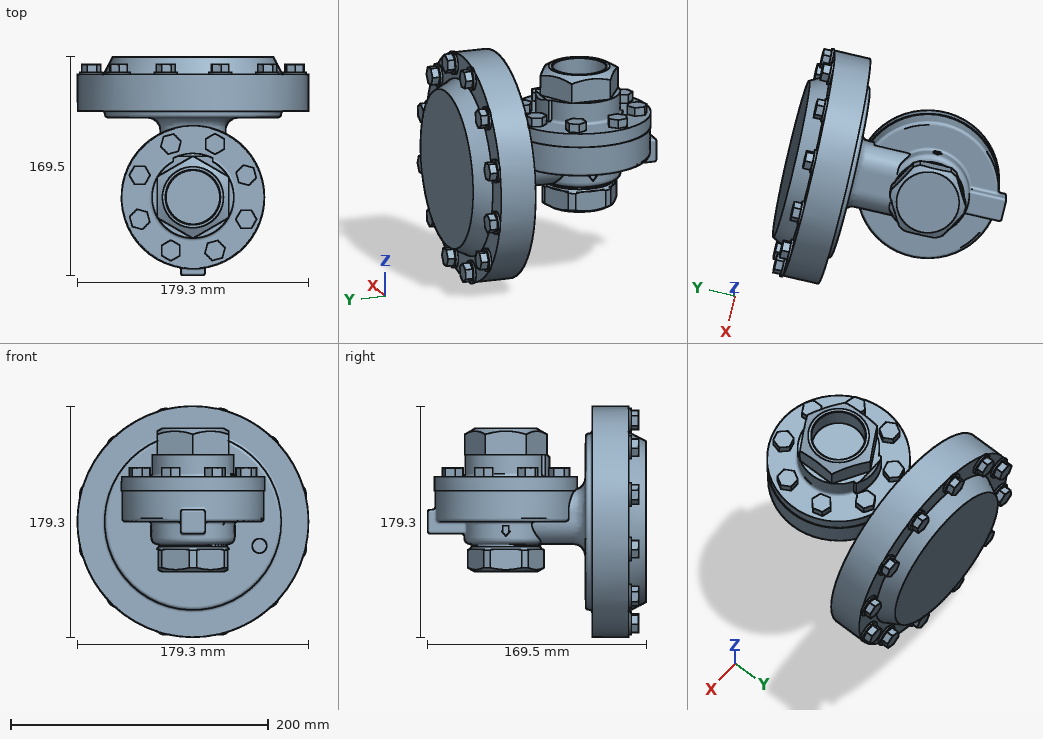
import cadquery as cq
import math


OVERALL_DEPTH = 169.51

COVER_DIAMETER = 179.32
COVER_RADIUS = COVER_DIAMETER / 2
FLANGE_THICKNESS = 14.2
FLANGE_FRONT_Y = 66.85
FLANGE_SPLIT_Y = FLANGE_FRONT_Y + FLANGE_THICKNESS
FLANGE_BACK_Y = FLANGE_SPLIT_Y + FLANGE_THICKNESS
BACK_BOSS_Y = 108.85
BACK_BOSS_BASE_RADIUS = 69.5
BACK_BOSS_TOP_RADIUS = 62.4
RIM_RADIUS = 68.5
RIM_ROOT_FILLET = 2.2
RIM_EDGE_FILLET = 2.7
RIM_FACE_Y = 61.8
FACE_CENTER_Y = 61.2

COVER_BOLT_COUNT = 12
COVER_BOLT_CIRCLE = 81.6
COVER_BOLT_START = 15.0
COVER_BOLT_ACROSS_FLATS = 13.0
COVER_BOLT_TWIST = 10.0
COVER_BOLT_TOP_Y = 103.0
WASHER_RADIUS = 9.0
WASHER_THICKNESS = 1.8

HOLE_RADIUS = 5.6
HOLE_CIRCLE = 54.9
HOLE_ANGLE = -20.0
HOLE_DEPTH = 10.0

LINK_WIDTH = 51.0
LINK_HEIGHT = 42.4
LINK_CORNER_RADIUS = 17.5
LINK_CENTER_Z = 3.8
LINK_FLARE = 9.0

BONNET_RADIUS = 55.5
BONNET_TOP_Z = 34.9
BONNET_BOTTOM_Z = 23.9
BODY_RADIUS = 54.9
BODY_BOTTOM_Z = 0.0
BODY_EDGE_FILLET = 2.5
BODY_ROOT_FILLET = 2.3
OUTLET_RADIUS = 32.3
OUTLET_BOTTOM_Z = -17.4
OUTLET_EDGE_FILLET = 4.7
OUTLET_ROOT_FILLET = 0.9
OUTLET_NECK_RADIUS = OUTLET_RADIUS - OUTLET_EDGE_FILLET - OUTLET_ROOT_FILLET
OUTLET_NECK_BOTTOM_Z = -19.6
INLET_RADIUS = 31.7
INLET_ROOT_FILLET = 2.3

PAD_RADIUS = 34.0
PAD_WIDTH = 30.4
PAD_CHAMFER = PAD_RADIUS - INLET_RADIUS

ARROW_HEIGHT = 0.5
ARROW_RADIUS = OUTLET_RADIUS + ARROW_HEIGHT
ARROW_TOP_Z = -3.0
ARROW_HEAD_Z = -7.3
ARROW_TIP_Z = -11.3
ARROW_SHAFT_HALF_WIDTH = 2.4
ARROW_HEAD_HALF_WIDTH = 3.3

UPPER_HEX_ACROSS_FLATS = 55.3
UPPER_HEX_BOTTOM_Z = 52.1
UPPER_HEX_TOP_Z = 72.5
UPPER_HEX_FACE_RADIUS = 23.7
LOWER_HEX_ACROSS_FLATS = 54.1
LOWER_HEX_TOP_Z = -21.2
LOWER_HEX_BOTTOM_Z = -38.8
LOWER_HEX_TURNED_RADIUS = 29.7
LOWER_HEX_TOP_RADIUS = 28.2
LOWER_HEX_FACE_RADIUS = 24.3
HEX_CORNER_ANGLE = 90
HEX_CHAMFER_SLOPE = math.tan(math.radians(30))
BORE_RADIUS = 20.9
BORE_DEPTH = 18.5
BORE_CHAMFER = 0.5

BONNET_BOLT_COUNT = 8
BONNET_BOLT_CIRCLE = 44.7
BONNET_BOLT_START = 22.5
BONNET_BOLT_TWIST = 22.5
BONNET_BOLT_ACROSS_FLATS = 14.0
BONNET_BOLT_HEIGHT = 6.8

LUG_SIDE = 18.8
LUG_FRONT_Y = BACK_BOSS_Y - OVERALL_DEPTH
LUG_EDGE_FILLET = 2.0
LUG_ROOT_FILLET = 2.3

OVERLAP = 2.0
JOINT_MARGIN = 0.1


def hexagon_points(across_flats, first_corner_angle):
    """Corners of a hexagon about the origin, the first one at the given angle in degrees."""
    corner_radius = across_flats / math.sqrt(3)
    angles = [math.radians(first_corner_angle + 60 * i) for i in range(6)]
    return [(corner_radius * math.cos(a), corner_radius * math.sin(a)) for a in angles]


def revolve_about_z(profile):
    """Revolve a closed (radius, z) profile drawn on the XZ plane about Z."""
    return profile.close().revolve(360, (0, 0, 0), (0, 1, 0))


def make_cover():
    """Flange pair, tapered back boss and rounded front rim, revolved about Y."""
    root_fillet_start_y = FLANGE_FRONT_Y - RIM_ROOT_FILLET
    profile = (
        cq.Workplane("XY")
        .moveTo(0, FACE_CENTER_Y)
        .lineTo(RIM_RADIUS - RIM_EDGE_FILLET, RIM_FACE_Y)
        .radiusArc((RIM_RADIUS, RIM_FACE_Y + RIM_EDGE_FILLET), -RIM_EDGE_FILLET)
        .lineTo(RIM_RADIUS, root_fillet_start_y)
        .radiusArc((RIM_RADIUS + RIM_ROOT_FILLET, FLANGE_FRONT_Y), RIM_ROOT_FILLET)
        .lineTo(COVER_RADIUS, FLANGE_FRONT_Y)
        .lineTo(COVER_RADIUS, FLANGE_BACK_Y)
        .lineTo(BACK_BOSS_BASE_RADIUS, FLANGE_BACK_Y)
        .lineTo(BACK_BOSS_TOP_RADIUS, BACK_BOSS_Y)
        .lineTo(0, BACK_BOSS_Y)
        .close()
    )
    return profile.revolve(360, (0, 0, 0), (0, 1, 0))


def make_cover_bolt():
    """One washer-faced bolt head standing on the back flange, at angle zero on the X axis."""
    washer = (
        cq.Workplane("XZ", origin=(COVER_BOLT_CIRCLE, FLANGE_BACK_Y, 0))
        .circle(WASHER_RADIUS)
        .extrude(-WASHER_THICKNESS)
    )
    head = (
        cq.Workplane("XZ", origin=(COVER_BOLT_CIRCLE, FLANGE_BACK_Y, 0))
        .polyline(hexagon_points(COVER_BOLT_ACROSS_FLATS, COVER_BOLT_TWIST))
        .close()
        .extrude(FLANGE_BACK_Y - COVER_BOLT_TOP_Y)
    )
    return washer.union(head)


def make_link():
    """Rounded-rectangle neck from the cover to the valve axis."""
    length = FACE_CENTER_Y + OVERLAP
    return (
        cq.Workplane("XZ", origin=(0, 0, LINK_CENTER_Z))
        .rect(LINK_WIDTH, LINK_HEIGHT)
        .extrude(-length)
        .edges("|Y")
        .fillet(LINK_CORNER_RADIUS)
    )


def flare_link(cover_and_link):
    """Fillet the edges where the neck meets the cover face."""
    reach = max(LINK_WIDTH, LINK_HEIGHT)
    root = cq.selectors.BoxSelector(
        (-reach, FACE_CENTER_Y - OVERLAP / 2, -reach),
        (reach, RIM_FACE_Y, reach),
        boundingbox=True,
    )
    return cover_and_link.edges(root).fillet(LINK_FLARE)


def make_valve_body():
    """Bonnet, body, outlet and inlet necks as one turned solid."""
    profile = (
        cq.Workplane("XZ")
        .moveTo(0, LOWER_HEX_TOP_Z)
        .lineTo(LOWER_HEX_TOP_RADIUS, LOWER_HEX_TOP_Z)
        .lineTo(OUTLET_NECK_RADIUS, OUTLET_NECK_BOTTOM_Z)
        .lineTo(OUTLET_NECK_RADIUS, OUTLET_BOTTOM_Z - OUTLET_ROOT_FILLET)
        .radiusArc((OUTLET_RADIUS - OUTLET_EDGE_FILLET, OUTLET_BOTTOM_Z), OUTLET_ROOT_FILLET)
        .radiusArc((OUTLET_RADIUS, OUTLET_BOTTOM_Z + OUTLET_EDGE_FILLET), -OUTLET_EDGE_FILLET)
        .lineTo(OUTLET_RADIUS, BODY_BOTTOM_Z - BODY_ROOT_FILLET)
        .radiusArc((OUTLET_RADIUS + BODY_ROOT_FILLET, BODY_BOTTOM_Z), BODY_ROOT_FILLET)
        .lineTo(BODY_RADIUS - BODY_EDGE_FILLET, BODY_BOTTOM_Z)
        .radiusArc((BODY_RADIUS, BODY_BOTTOM_Z + BODY_EDGE_FILLET), -BODY_EDGE_FILLET)
        .lineTo(BODY_RADIUS, BONNET_BOTTOM_Z)
        .lineTo(BONNET_RADIUS, BONNET_BOTTOM_Z)
        .lineTo(BONNET_RADIUS, BONNET_TOP_Z)
        .lineTo(INLET_RADIUS + INLET_ROOT_FILLET, BONNET_TOP_Z)
        .radiusArc((INLET_RADIUS, BONNET_TOP_Z + INLET_ROOT_FILLET), INLET_ROOT_FILLET)
        .lineTo(INLET_RADIUS, UPPER_HEX_BOTTOM_Z)
        .lineTo(0, UPPER_HEX_BOTTOM_Z)
    )
    return revolve_about_z(profile)


def make_hex(across_flats, bottom_z, top_z):
    """Plain hexagonal prism with corners on the Y axis."""
    return (
        cq.Workplane("XY", origin=(0, 0, bottom_z))
        .polyline(hexagon_points(across_flats, HEX_CORNER_ANGLE))
        .close()
        .extrude(top_z - bottom_z)
    )


def make_upper_hex():
    """Inlet hexagon with a coned top."""
    corner_radius = UPPER_HEX_ACROSS_FLATS / math.sqrt(3) + OVERLAP
    cone_drop = (corner_radius - UPPER_HEX_FACE_RADIUS) * HEX_CHAMFER_SLOPE
    turned_profile = (
        cq.Workplane("XZ")
        .moveTo(0, UPPER_HEX_BOTTOM_Z)
        .lineTo(corner_radius, UPPER_HEX_BOTTOM_Z)
        .lineTo(corner_radius, UPPER_HEX_TOP_Z - cone_drop)
        .lineTo(UPPER_HEX_FACE_RADIUS, UPPER_HEX_TOP_Z)
        .lineTo(0, UPPER_HEX_TOP_Z)
    )
    hexagon = make_hex(UPPER_HEX_ACROSS_FLATS, UPPER_HEX_BOTTOM_Z, UPPER_HEX_TOP_Z)
    return hexagon.intersect(revolve_about_z(turned_profile))


def make_lower_hex():
    """Outlet hexagon with turned corners and coned ends."""
    top_drop = (LOWER_HEX_TURNED_RADIUS - LOWER_HEX_TOP_RADIUS) * HEX_CHAMFER_SLOPE
    bottom_rise = (LOWER_HEX_TURNED_RADIUS - LOWER_HEX_FACE_RADIUS) * HEX_CHAMFER_SLOPE
    turned_profile = (
        cq.Workplane("XZ")
        .moveTo(0, LOWER_HEX_BOTTOM_Z)
        .lineTo(LOWER_HEX_FACE_RADIUS, LOWER_HEX_BOTTOM_Z)
        .lineTo(LOWER_HEX_TURNED_RADIUS, LOWER_HEX_BOTTOM_Z + bottom_rise)
        .lineTo(LOWER_HEX_TURNED_RADIUS, LOWER_HEX_TOP_Z - top_drop)
        .lineTo(LOWER_HEX_TOP_RADIUS, LOWER_HEX_TOP_Z)
        .lineTo(0, LOWER_HEX_TOP_Z)
    )
    hexagon = make_hex(LOWER_HEX_ACROSS_FLATS, LOWER_HEX_BOTTOM_Z, LOWER_HEX_TOP_Z)
    return hexagon.intersect(revolve_about_z(turned_profile))


def make_bonnet_bolt():
    """One hexagon bolt head standing on the bonnet, at angle zero on the X axis."""
    return (
        cq.Workplane("XY", origin=(BONNET_BOLT_CIRCLE, 0, BONNET_TOP_Z))
        .polyline(hexagon_points(BONNET_BOLT_ACROSS_FLATS, BONNET_BOLT_TWIST))
        .close()
        .extrude(BONNET_BOLT_HEIGHT)
    )


def make_lug():
    """Square lug reaching forward from the outlet neck, with rounded outer edges."""
    length = -LUG_FRONT_Y - OUTLET_RADIUS + 2 * OVERLAP
    lug = (
        cq.Workplane("XZ", origin=(0, LUG_FRONT_Y, 0))
        .rect(LUG_SIDE, LUG_SIDE)
        .extrude(-length)
    )
    return lug.edges("|Y or <Y").fillet(LUG_EDGE_FILLET)


def blend_lug(body_and_lug):
    """Fillet the edges where the lug meets the body and the outlet neck."""
    half_side = LUG_SIDE / 2 + JOINT_MARGIN
    front_y = LUG_FRONT_Y + 2 * LUG_EDGE_FILLET
    back_y = OVERLAP - OUTLET_RADIUS
    joint = cq.selectors.BoxSelector(
        (-half_side, front_y, -half_side),
        (half_side, back_y, half_side),
        boundingbox=True,
    )
    return body_and_lug.edges(joint).fillet(LUG_ROOT_FILLET)


def make_pad():
    """Wide raised pad on the +Y side of the inlet neck, chamfered at its top."""
    height = UPPER_HEX_BOTTOM_Z - BONNET_TOP_Z
    base = cq.Workplane("XY", origin=(0, 0, BONNET_TOP_Z))
    block = (
        base.rect(PAD_WIDTH, 2 * PAD_RADIUS)
        .extrude(height)
        .edges(">Y and >Z")
        .chamfer(PAD_CHAMFER)
    )
    rear_half = base.center(0, PAD_RADIUS).rect(PAD_WIDTH, 2 * PAD_RADIUS).extrude(height)
    return block.intersect(rear_half).intersect(base.circle(PAD_RADIUS).extrude(height))


def make_arrows():
    """Two flow arrows pointing down, standing slightly proud of the outlet neck at +X and -X."""
    outline = [
        (-ARROW_SHAFT_HALF_WIDTH, ARROW_TOP_Z),
        (ARROW_SHAFT_HALF_WIDTH, ARROW_TOP_Z),
        (ARROW_SHAFT_HALF_WIDTH, ARROW_HEAD_Z),
        (ARROW_HEAD_HALF_WIDTH, ARROW_HEAD_Z),
        (0, ARROW_TIP_Z),
        (-ARROW_HEAD_HALF_WIDTH, ARROW_HEAD_Z),
        (-ARROW_SHAFT_HALF_WIDTH, ARROW_HEAD_Z),
    ]
    bar = cq.Workplane("YZ").polyline(outline).close().extrude(ARROW_RADIUS, both=True)
    skin = (
        cq.Workplane("XY", origin=(0, 0, ARROW_TIP_Z))
        .circle(ARROW_RADIUS)
        .extrude(ARROW_TOP_Z - ARROW_TIP_Z)
    )
    return bar.intersect(skin)


def make_bore():
    """Blind inlet bore with a chamfered mouth."""
    profile = (
        cq.Workplane("XZ")
        .moveTo(0, UPPER_HEX_TOP_Z)
        .lineTo(BORE_RADIUS + BORE_CHAMFER, UPPER_HEX_TOP_Z)
        .lineTo(BORE_RADIUS, UPPER_HEX_TOP_Z - BORE_CHAMFER)
        .lineTo(BORE_RADIUS, UPPER_HEX_TOP_Z - BORE_DEPTH)
        .lineTo(0, UPPER_HEX_TOP_Z - BORE_DEPTH)
    )
    return revolve_about_z(profile)


def make_sensing_hole():
    """Blind hole in the cover's front face."""
    angle = math.radians(HOLE_ANGLE)
    x = HOLE_CIRCLE * math.cos(angle)
    z = HOLE_CIRCLE * math.sin(angle)
    depth = RIM_FACE_Y - FACE_CENTER_Y + HOLE_DEPTH
    return cq.Workplane("XZ", origin=(x, FACE_CENTER_Y, z)).circle(HOLE_RADIUS).extrude(-depth)


cover = flare_link(make_cover().union(make_link()))
cover = cover.cut(make_sensing_hole())
cover_bolt = make_cover_bolt()
for i in range(COVER_BOLT_COUNT):
    angle = COVER_BOLT_START + i * 360 / COVER_BOLT_COUNT
    cover = cover.union(cover_bolt.rotate((0, 0, 0), (0, -1, 0), angle))

valve = blend_lug(make_valve_body().union(make_lug()))
valve = valve.union(make_pad()).union(make_arrows())
valve = valve.union(make_upper_hex()).union(make_lower_hex())
valve = valve.cut(make_bore())
bonnet_bolt = make_bonnet_bolt()
for i in range(BONNET_BOLT_COUNT):
    angle = BONNET_BOLT_START + i * 360 / BONNET_BOLT_COUNT
    valve = valve.union(bonnet_bolt.rotate((0, 0, 0), (0, 0, 1), angle))

result = cover.union(valve)